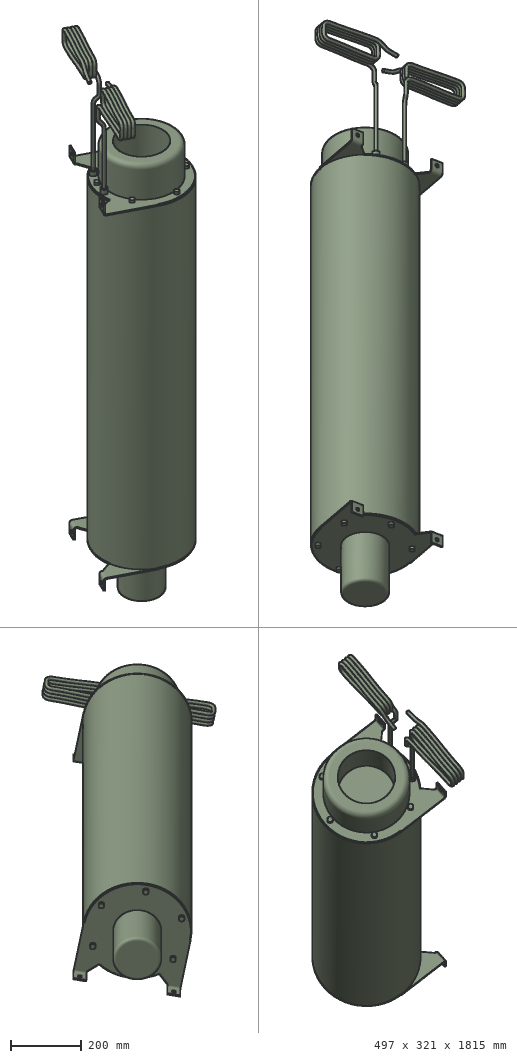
import cadquery as cq
OVERALL_HEIGHT = 1815.0
OVERALL_DEPTH = 321.0

BODY_DIAMETER = 310.0
BODY_HEIGHT = 1247.0
TAIL_DIAMETER = 138.0
TAIL_LENGTH = 167.0
TAIL_FILLET = 9.0
COLLAR_DIAMETER = 247.0
COLLAR_HEIGHT = 120.0
COLLAR_FILLET = 16.0
BORE_DIAMETER = 163.0
BORE_DEPTH = COLLAR_HEIGHT

PLATE_DIAMETER = 305.0
PLATE_THICKNESS = 5.0
TAB_WIDTH = 38.0
TAB_RISE = 38.0
TAB_HOLE_DIAMETER = 11.0
TAB_HOLE_RISE = 22.0
BEND_INNER_RADIUS = 5.0
GUSSET_RUN = 29.0
BOLT_COUNT = 6
BOLT_HEAD_DIAMETER = 16.0
BOLT_HEAD_HEIGHT = 9.0
BOLT_CIRCLE_RADIUS = 135.0

CABLE_DIAMETER = 11.0
GLAND_DIAMETER = 22.0
GLAND_HEIGHT = 16.0
LEG_X = 49.0
LEG_Y = -129.0
COIL_LENGTH = 190.0
COIL_HEIGHT = 58.0
COIL_CORNER = 18.0
COIL_PITCH = 11.5
COIL_TURNS = 3
COIL_OFFSET = 16.0
COIL_NEAR_END = 4.0
COIL_STEP = 22.0
LEG_TOP_DROP = 85.0
LEAD_IN_SHIFT = 5.0
LEAD_IN_RISE = 35.0
FREE_END_DROPS = [(45.0, 22.0), (76.0, 29.0)]
FREE_END_SLOPE = 0.3

body_radius = BODY_DIAMETER / 2
tab_front = OVERALL_DEPTH - body_radius
bottom_face = TAIL_LENGTH
body_bottom = bottom_face + PLATE_THICKNESS
body_top = body_bottom + BODY_HEIGHT
top_face = body_top + PLATE_THICKNESS
left_coil_base = OVERALL_HEIGHT - CABLE_DIAMETER / 2 - COIL_HEIGHT


def make_tab(side):
    """Bent tab and its gusset; side is -1 or +1 along X, the plate's outer face is at Z = 0."""
    outer_x = body_radius
    inner_x = body_radius - TAB_WIDTH
    bend_outer_radius = BEND_INNER_RADIUS + PLATE_THICKNESS
    bend_start = tab_front - bend_outer_radius

    gusset = (
        cq.Workplane("XY", origin=(0, 0, -PLATE_THICKNESS))
        .polyline([
            (0, 0),
            (outer_x, 0),
            (outer_x, -bend_start),
            (inner_x, -bend_start),
            (inner_x - GUSSET_RUN, GUSSET_RUN - bend_start),
        ])
        .close()
        .extrude(PLATE_THICKNESS)
    )
    bend = (
        cq.Workplane("YZ", origin=(inner_x, 0, 0))
        .moveTo(-bend_start, -PLATE_THICKNESS)
        .radiusArc((-tab_front, BEND_INNER_RADIUS), bend_outer_radius)
        .lineTo(-tab_front, TAB_RISE)
        .lineTo(PLATE_THICKNESS - tab_front, TAB_RISE)
        .lineTo(PLATE_THICKNESS - tab_front, BEND_INNER_RADIUS)
        .radiusArc((-bend_start, 0), -BEND_INNER_RADIUS)
        .close()
        .extrude(TAB_WIDTH)
    )
    hole = (
        cq.Workplane("XZ", origin=(outer_x - TAB_WIDTH / 2, 0, TAB_HOLE_RISE))
        .circle(TAB_HOLE_DIAMETER / 2)
        .extrude(tab_front)
    )
    tab = gusset.union(bend).cut(hole)
    return tab if side > 0 else tab.mirror("YZ")


def make_end_plate():
    """Round plate with two tabs and a ring of bolt heads, its outer face at Z = 0 facing +Z."""
    plate = (
        cq.Workplane("XY", origin=(0, 0, -PLATE_THICKNESS))
        .circle(PLATE_DIAMETER / 2)
        .extrude(PLATE_THICKNESS)
    )
    bolt_heads = (
        cq.Workplane("XY")
        .polarArray(BOLT_CIRCLE_RADIUS, 90, 360, BOLT_COUNT)
        .circle(BOLT_HEAD_DIAMETER / 2)
        .extrude(BOLT_HEAD_HEIGHT)
    )
    for side in (-1, 1):
        plate = plate.union(make_tab(side))
    return plate.union(bolt_heads)


def make_housing():
    """Body with its tail pipe, bored collar and end plates."""
    tail = (
        cq.Workplane("XY")
        .circle(TAIL_DIAMETER / 2)
        .extrude(TAIL_LENGTH)
        .faces("<Z").edges().fillet(TAIL_FILLET)
    )
    barrel = (
        cq.Workplane("XY", origin=(0, 0, body_bottom))
        .circle(body_radius)
        .extrude(BODY_HEIGHT)
    )
    collar = (
        cq.Workplane("XY", origin=(0, 0, top_face))
        .circle(COLLAR_DIAMETER / 2)
        .extrude(COLLAR_HEIGHT)
        .faces(">Z").edges().fillet(COLLAR_FILLET)
        .faces(">Z").workplane()
        .hole(BORE_DIAMETER, BORE_DEPTH)
    )
    end_plate = make_end_plate()
    top_plate = end_plate.translate((0, 0, top_face))
    bottom_plate = end_plate.mirror("XY").translate((0, 0, bottom_face))
    return barrel.union(tail).union(collar).union(top_plate).union(bottom_plate)


def coil_stations(base):
    """Points and directions along the coil: rounded loops that step toward -Y.

    X and Y are measured from the leg, base is the height of the lower runs,
    and the coil lies on the -X side.
    """
    right = -COIL_NEAR_END
    left = right - COIL_LENGTH
    top = base + COIL_HEIGHT
    near = right - COIL_CORNER
    far = left + COIL_CORNER
    loop = [
        (near, base, -1, 0, 0),
        (far, base, -1, 0, 0.4),
        (left, base + COIL_CORNER, 0, 1, 0.43),
        (left, top - COIL_CORNER, 0, 1, 0.47),
        (far, top, 1, 0, 0.5),
        (near, top, 1, 0, 0.9),
        (right, top - COIL_CORNER, 0, -1, 0.93),
        (right, base + COIL_CORNER, 0, -1, 0.97),
    ]
    last_part_turn = loop[:6]
    stations = []
    for turn in range(COIL_TURNS + 1):
        corners = loop if turn < COIL_TURNS else last_part_turn
        for x, z, dir_x, dir_z, share in corners:
            y = COIL_OFFSET - COIL_PITCH * (turn + share)
            stations.append(((x, y, z), (dir_x, 0, dir_z)))
    return stations


def make_cable(coil_base):
    """Gland, upright leg, coil and free end; the leg stands on the Z axis of this frame."""
    leg_top = coil_base - LEG_TOP_DROP
    lead_in = [
        ((0, 0, leg_top), (0, 0, 1)),
        ((LEAD_IN_SHIFT, COIL_OFFSET, leg_top + LEAD_IN_RISE), (0, 0, 1)),
        ((LEAD_IN_SHIFT, COIL_OFFSET, coil_base - COIL_CORNER), (0, 0, 1)),
    ]
    coil = coil_stations(coil_base)
    end_x, end_y, end_z = coil[-1][0]
    free_end = [
        ((end_x + run, end_y, end_z - drop), (1, 0, -FREE_END_SLOPE))
        for run, drop in FREE_END_DROPS
    ]
    stations = lead_in + coil + free_end
    points = [cq.Vector(*point) for point, _ in stations]
    directions = [cq.Vector(*direction) for _, direction in stations]
    leg_line = cq.Edge.makeLine(cq.Vector(0, 0, top_face), points[0])
    coil_curve = cq.Edge.makeSpline(points, tangents=directions)
    path = cq.Wire.assembleEdges([leg_line, coil_curve])

    cable = (
        cq.Workplane("XY", origin=(0, 0, top_face))
        .circle(CABLE_DIAMETER / 2)
        .sweep(cq.Workplane(path))
    )
    gland = (
        cq.Workplane("XY", origin=(0, 0, top_face))
        .circle(GLAND_DIAMETER / 2)
        .extrude(GLAND_HEIGHT)
    )
    return cable.union(gland)


housing = make_housing()

cables = []
for leg_x, turn_angle, coil_base in (
    (-LEG_X, 0, left_coil_base),
    (LEG_X, 180, left_coil_base - COIL_STEP),
):
    cable = make_cable(coil_base).rotate((0, 0, 0), (0, 0, 1), turn_angle)
    cables.append(cable.translate((leg_x, LEG_Y, 0)))

result = cq.Compound.makeCompound([housing.val(), *[cable.val() for cable in cables]])